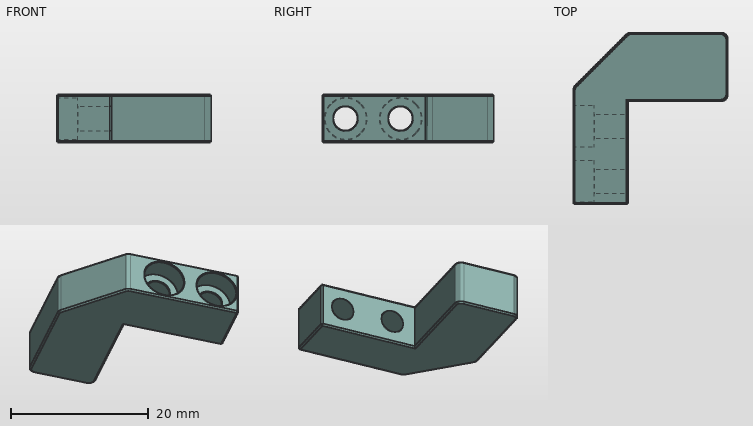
import cadquery as cq

length_x = 22.5
length_y = 25.0
thickness = 7.0
leg_width = 8.0
head_width = 10.0
corner_cut = 8.0
corner_radius = 1.0
edge_chamfer = 0.25

hole_diameter = 3.5
counterbore_diameter = 6.0
counterbore_depth = 3.0
rim_chamfer = 0.1
hole_pitch = 8.0
first_hole_y = 3.4
hole_positions = [first_hole_y, first_hole_y + hole_pitch]

head_y = length_y - head_width


def make_body():
    """L-shaped plate with rounded outer corners and chamfered edges."""
    body = (
        cq.Workplane("XY")
        .polyline([
            (0, 0),
            (leg_width, 0),
            (leg_width, head_y),
            (length_x, head_y),
            (length_x, length_y),
            (corner_cut, length_y),
            (0, length_y - corner_cut),
        ])
        .close()
        .extrude(thickness)
    )
    rounded_corners = [
        (length_x, head_y),
        (length_x, length_y),
        (corner_cut, length_y),
        (0, length_y - corner_cut),
    ]
    for x, y in rounded_corners:
        edge = cq.selectors.NearestToPointSelector((x, y, thickness / 2))
        body = body.edges("|Z").edges(edge).fillet(corner_radius)
    leg_corners = body.faces("<Y").edges("|Z")
    outlines = body.faces("<Z or >Z").edges()
    return leg_corners.add(outlines).chamfer(edge_chamfer)


def make_hole_cutter(y):
    """Stepped hole along X with a small chamfer at both rims."""
    hole_radius = hole_diameter / 2
    bore_radius = counterbore_diameter / 2
    profile = (
        cq.Workplane("XY")
        .polyline([
            (0, 0),
            (0, bore_radius + rim_chamfer),
            (rim_chamfer, bore_radius),
            (counterbore_depth, bore_radius),
            (counterbore_depth, hole_radius + rim_chamfer),
            (counterbore_depth + rim_chamfer, hole_radius),
            (leg_width, hole_radius),
            (leg_width, 0),
        ])
        .close()
    )
    cutter = profile.revolve(360, (0, 0, 0), (1, 0, 0))
    return cutter.translate((0, y, thickness / 2))


result = make_body()
for hole_y in hole_positions:
    result = result.cut(make_hole_cutter(hole_y))